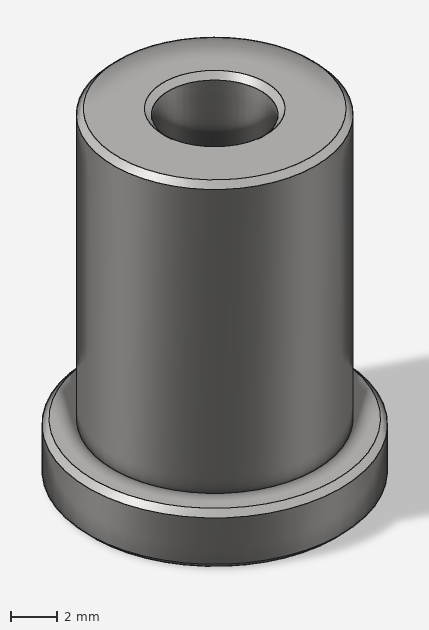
import cadquery as cq

total_height = 19.0
flange_diameter = 15.0
flange_height = 3.0
body_diameter = 12.0
bore_diameter = 5.5
edge_chamfer = 0.3


def chamfered_cylinder(diameter, height, edges):
    """Cylinder standing on the XY plane with the selected rims chamfered."""
    cylinder = cq.Workplane("XY").circle(diameter / 2).extrude(height)
    return cylinder.edges(edges).chamfer(edge_chamfer)


def bore_cutter():
    """Through bore, widened by a chamfer at both mouths."""
    bore_radius = bore_diameter / 2
    mouth_radius = bore_radius + edge_chamfer
    profile = (
        cq.Workplane("XZ")
        .lineTo(mouth_radius, 0)
        .lineTo(bore_radius, edge_chamfer)
        .lineTo(bore_radius, total_height - edge_chamfer)
        .lineTo(mouth_radius, total_height)
        .lineTo(0, total_height)
        .close()
    )
    return profile.revolve(360, (0, 0, 0), (0, 1, 0))


flange = chamfered_cylinder(flange_diameter, flange_height, "%CIRCLE")
body = chamfered_cylinder(body_diameter, total_height, ">Z")

result = flange.union(body).cut(bore_cutter())